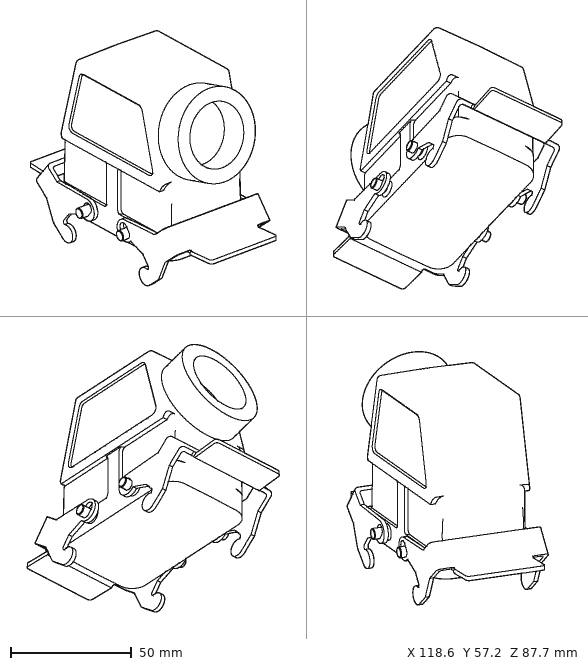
import cadquery as cq
import math



def tan_deg(angle):
    return math.tan(math.radians(angle))


end_slope = 15.0
half_draft = 0.75
ridge_fall = tan_deg(half_draft) / math.cos(math.radians(end_slope))
hood_top = 72.0
hood_bottom = 32.1
hood_half_width = 22.4
hood_half_length = 34.4
hood_edge_radius = 2.0
clearance = 5.0

window_top = 67.0
window_bottom = 37.1
window_half_length = 28.0
window_depth = 1.0
window_draft = 27.0
window_corner_radius = 2.5

skirt_slope = 5.0
skirt_half_width = 20.2
skirt_corner_radius = 2.9
facet_apex_height = 27.0
facet_turn = 15.0
corner_notch_top = 35.95
corner_notch_foot = 31.7

band_height = 10.8
band_half_width = 21.65
band_corner_radius = 7.5
band_half_length = hood_half_length + (hood_bottom - band_height) * tan_deg(skirt_slope)

rib_half_width = 4.0
rib_corner_radius = 2.0
rib_draft = 18.0
rib_root = 1.0

collar_diameter = 40.6
collar_bore = 28.3
collar_length = 13.1
collar_root = 5.0
collar_mouth_height = 55.15

pin_x = 13.2
pin_z = 6.4
pin_diameter = 4.6
pin_tip_y = 28.6
pin_tip_chamfer = 0.3
pin_base_flare = 1.2

sheet = 1.9
lever_width = 51.0
lever_offset_y = 0.4
left_tilt = 39.0
right_tilt = 40.1
eye_radius = 5.0
slot_travel = 2.5
bend_radius = 2.0
inner_bend_radius = 1.3

plate_x = -27.0
plate_top = -8.0
plate_bottom = -20.2
cheek_step_x = -18.4
cheek_heel_x = -17.2
cheek_toe_x = -7.75
hook_radius = 4.0
hook_x = 0.15
hook_z = -20.85
throat_x = -4.8
throat_top = -12.3
throat_bottom = -17.6
throat_mid = (-4.3, -18.6)
throat_lip_angle = 149.0
eye_joint_angle = 262.0

tongue_angle = 36.5
tongue_length = 12.55
tongue_width = 35.6
tongue_bend_radius = 1.7
tongue_corner_radius = 1.5
tongue_bend_z = -21.12
neck_flare = 0.8


def upper_hood_half():
    """One half of the sloped upper hood, from the parting plane to the -Y side."""
    top_half = hood_half_length - (hood_top - hood_bottom) * tan_deg(end_slope)
    low_half = hood_half_length + clearance * tan_deg(end_slope)
    low = hood_bottom - clearance
    half = (
        cq.Workplane("XZ")
        .polyline([(-low_half, low), (low_half, low), (top_half, hood_top), (-top_half, hood_top)])
        .close()
        .extrude(hood_half_width, taper=half_draft)
    )
    below = cq.Workplane("XY", origin=(0, 0, low)).box(
        2 * low_half + clearance, 2 * hood_half_width + clearance, 2 * clearance
    )
    half = half.cut(below)
    side_edges = half.faces("<Y").edges("not <Z")
    top_ends = half.faces(">Z").edges("<X or >X")
    return half.newObject(side_edges.vals() + top_ends.vals()).fillet(hood_edge_radius)


def window_recess():
    """Drafted trapezoid sunk into the -Y side of the upper hood."""
    top_half = window_half_length - (window_top - window_bottom) * tan_deg(end_slope)
    outline = (
        cq.Sketch()
        .polygon([
            (-window_half_length, window_bottom),
            (window_half_length, window_bottom),
            (top_half, window_top),
            (-top_half, window_top),
            (-window_half_length, window_bottom),
        ])
        .vertices()
        .fillet(window_corner_radius)
    )
    return (
        cq.Workplane("XZ", origin=(0, -hood_half_width, 0))
        .placeSketch(outline)
        .extrude(-window_depth, taper=window_draft)
    )


def corner_notch():
    """Wedge removed from the lower corner of the upper hood at +X, -Y."""
    notch_top_x = hood_half_length - (corner_notch_top - hood_bottom) * tan_deg(end_slope)
    notch_inner_y = skirt_half_width - skirt_corner_radius
    return (
        cq.Workplane("XZ", origin=(0, -notch_inner_y, 0))
        .moveTo(corner_notch_foot, hood_bottom)
        .lineTo(notch_top_x, corner_notch_top)
        .lineTo(hood_half_length + clearance, corner_notch_top)
        .lineTo(hood_half_length + clearance, hood_bottom)
        .close()
        .extrude(hood_half_width)
    )


def rounded_section(height, half_length, half_width, radius):
    """Rounded rectangle whose ends are drafted back from the parting plane."""
    corner_x = half_length - half_width * ridge_fall
    outline = cq.Sketch().polygon([
        (half_length, 0),
        (corner_x, half_width),
        (-corner_x, half_width),
        (-half_length, 0),
        (-corner_x, -half_width),
        (corner_x, -half_width),
        (half_length, 0),
    ])
    outline = outline.vertices("<Y or >Y").fillet(radius)
    return outline.moved(cq.Location(cq.Vector(0, 0, height)))


def skirt_end_x(height, y=0.0):
    """X of the skirt's +X end wall; above the hood's underside it follows the hood wall."""
    slope = end_slope if height > hood_bottom else skirt_slope
    return hood_half_length + (hood_bottom - height) * tan_deg(slope) - y * ridge_fall


def corner_facet():
    """Block that shaves a flat facet off the skirt's corner at +X, +Y."""
    apex_y = skirt_half_width - skirt_corner_radius
    foot_y = band_half_width - band_corner_radius
    apex = cq.Vector(skirt_end_x(facet_apex_height, apex_y), apex_y, facet_apex_height)
    foot = cq.Vector(skirt_end_x(band_height, foot_y), foot_y, band_height)
    turn = math.radians(facet_turn)
    across = cq.Vector(-math.sin(turn), math.cos(turn), 0)
    facet = cq.Plane(origin=apex, xDir=across, normal=across.cross(apex - foot))
    block = cq.Workplane(facet).rect(4 * band_corner_radius, 2 * facet_apex_height)
    return block.extrude(band_corner_radius)


def skirt():
    """Tapered lower body with round corners that flatten towards the band."""
    foot_radius = skirt_corner_radius + band_half_length - hood_half_length
    stations = [
        (band_height, foot_radius),
        (hood_bottom, skirt_corner_radius),
        (corner_notch_top, skirt_corner_radius),
    ]
    sections = [
        rounded_section(height, skirt_end_x(height), skirt_half_width, radius)
        for height, radius in stations
    ]
    body = cq.Workplane("XY").placeSketch(*sections).loft(ruled=True)
    facet = corner_facet()
    facets = facet.union(facet.mirror("YZ"))
    return body.cut(facets).cut(facets.mirror("XZ"))


def band():
    """Straight rim below the skirt."""
    outline = rounded_section(0, band_half_length, band_half_width, band_corner_radius)
    return cq.Workplane("XY").placeSketch(outline).extrude(band_height)


def centre_rib():
    """Rib on the -Y side, flaring by round corners into the band and the upper hood."""
    foot = rib_half_width + rib_corner_radius
    low = band_height
    high = hood_bottom
    return (
        cq.Workplane("XZ", origin=(0, -skirt_half_width, 0))
        .moveTo(-foot, low - rib_root)
        .lineTo(foot, low - rib_root)
        .lineTo(foot, low)
        .radiusArc((rib_half_width, low + rib_corner_radius), rib_corner_radius)
        .lineTo(rib_half_width, high - rib_corner_radius)
        .radiusArc((foot, high), rib_corner_radius)
        .lineTo(foot, high + rib_root)
        .lineTo(-foot, high + rib_root)
        .lineTo(-foot, high)
        .radiusArc((-rib_half_width, high - rib_corner_radius), rib_corner_radius)
        .lineTo(-rib_half_width, low + rib_corner_radius)
        .radiusArc((-foot, low), rib_corner_radius)
        .close()
        .extrude(band_half_width - skirt_half_width, taper=rib_draft)
    )


def collar_plane():
    """Plane on the collar's mouth, facing outward along its axis."""
    slope = math.radians(end_slope)
    wall_x = hood_half_length - (collar_mouth_height - hood_bottom) * math.tan(slope)
    mouth_x = wall_x + collar_length / math.cos(slope)
    return cq.Plane(
        origin=(mouth_x, 0, collar_mouth_height),
        xDir=(0, 1, 0),
        normal=(math.cos(slope), 0, math.sin(slope)),
    )


def pin(side_x):
    """Pivot pin on the -Y side with a flared base."""
    return (
        cq.Workplane("XY")
        .moveTo(0, skirt_half_width)
        .lineTo(pin_diameter / 2 + pin_base_flare, skirt_half_width)
        .lineTo(pin_diameter / 2 + pin_base_flare, band_half_width)
        .lineTo(pin_diameter / 2, band_half_width + pin_base_flare)
        .lineTo(pin_diameter / 2, pin_tip_y - pin_tip_chamfer)
        .lineTo(pin_diameter / 2 - pin_tip_chamfer, pin_tip_y)
        .lineTo(0, pin_tip_y)
        .close()
        .revolve(360, (0, 0, 0), (0, 1, 0))
        .mirror("XZ")
        .translate((side_x * pin_x, 0, pin_z))
    )


def build_hood():
    near_half = upper_hood_half()
    notch = corner_notch()
    near_half = near_half.cut(window_recess()).cut(notch).cut(notch.mirror("YZ"))
    upper = near_half.union(near_half.mirror("XZ"))

    body = upper.union(skirt()).union(band())
    rib = centre_rib()
    body = body.union(rib).union(rib.mirror("XZ"))
    for side_x in (-1, 1):
        near_pin = pin(side_x)
        body = body.union(near_pin).union(near_pin.mirror("XZ"))

    mouth = collar_plane()
    collar = cq.Workplane(mouth).circle(collar_diameter / 2).extrude(-collar_length - collar_root)
    bore = cq.Workplane(mouth).circle(collar_bore / 2).extrude(-collar_length)
    return body.union(collar).cut(bore)


def on_circle(centre_x, centre_z, radius, angle):
    turn = math.radians(angle)
    return (centre_x + radius * math.cos(turn), centre_z + radius * math.sin(turn))


def cheek_outline():
    """Side outline of the lever, upright, with the eye centre at the origin."""
    step_distance = math.hypot(cheek_step_x, plate_top)
    step_angle = math.degrees(math.atan2(plate_top, cheek_step_x))
    tangent_angle = step_angle - math.degrees(math.acos(eye_radius / step_distance))
    hook_bottom = hook_z - hook_radius
    lip = on_circle(hook_x, hook_z, hook_radius, throat_lip_angle)
    return (
        cq.Workplane("XZ", origin=(0, lever_width / 2, 0))
        .moveTo(plate_x, plate_top)
        .lineTo(cheek_step_x, plate_top)
        .lineTo(*on_circle(0, 0, eye_radius, tangent_angle))
        .threePointArc((eye_radius, 0), on_circle(0, 0, eye_radius, eye_joint_angle))
        .lineTo(throat_x, throat_top)
        .lineTo(throat_x, throat_bottom)
        .threePointArc(throat_mid, lip)
        .threePointArc((hook_x + hook_radius, hook_z), (hook_x, hook_bottom))
        .lineTo(cheek_toe_x, hook_bottom)
        .lineTo(cheek_heel_x, plate_bottom)
        .lineTo(plate_x, plate_bottom)
        .close()
    )


def tongue():
    """Bent handle below the cross plate."""
    fall = math.radians(tongue_angle)
    out_x, out_z = -math.cos(fall), -math.sin(fall)
    under_x, under_z = math.sin(fall) * sheet, -math.cos(fall) * sheet
    tip = (plate_x + tongue_length * out_x, tongue_bend_z + tongue_length * out_z)
    inner_x = plate_x + sheet
    inner_z = tongue_bend_z - sheet * math.tan((math.pi / 2 - fall) / 2)
    blade = (
        cq.Workplane("XZ", origin=(0, tongue_width / 2, 0))
        .moveTo(plate_x, plate_bottom)
        .lineTo(plate_x, tongue_bend_z)
        .lineTo(*tip)
        .lineTo(tip[0] + under_x, tip[1] + under_z)
        .lineTo(inner_x, inner_z)
        .lineTo(inner_x, plate_bottom)
        .close()
        .extrude(tongue_width)
    )
    blade = blade.edges(cq.selectors.BoxSelector(
        (plate_x - sheet / 4, -tongue_width, tongue_bend_z - sheet / 4),
        (plate_x + sheet / 4, tongue_width, tongue_bend_z + sheet / 4),
    )).edges("|Y").fillet(tongue_bend_radius)
    tip_corners = cq.selectors.ParallelDirSelector(cq.Vector(under_x, 0, under_z))
    return blade.edges(tip_corners).fillet(tongue_corner_radius)


def neck():
    """Flared joint between the cross plate and the narrower tongue."""
    half = tongue_width / 2
    return (
        cq.Workplane("YZ", origin=(plate_x, 0, 0))
        .moveTo(-half - neck_flare, plate_bottom)
        .lineTo(half + neck_flare, plate_bottom)
        .lineTo(half, plate_bottom - neck_flare)
        .lineTo(-half, plate_bottom - neck_flare)
        .close()
        .extrude(sheet)
    )


def inner_space():
    """Room between the cheeks, behind the cross plate."""
    reach = 2 * tongue_width
    return (
        cq.Workplane("XY")
        .box(reach, lever_width - 2 * sheet, reach, centered=(False, True, True))
        .edges("|Z and <X")
        .fillet(inner_bend_radius)
        .translate((plate_x + sheet, 0, 0))
    )


def build_lever(tilt):
    """One lever with its inward side towards +X and its lower slot centre at the origin."""
    plate_corners = cq.selectors.BoxSelector(
        (plate_x - sheet, -lever_width, plate_bottom),
        (plate_x + sheet, lever_width, plate_top),
    )
    lever = cheek_outline().extrude(lever_width)
    lever = lever.edges("|Z").edges(plate_corners).fillet(bend_radius)
    lever = lever.cut(inner_space()).union(tongue()).union(neck())

    slot = (
        cq.Workplane("XZ", origin=(0, lever_width, 0))
        .slot2D(slot_travel + pin_diameter, pin_diameter, 90)
        .extrude(2 * lever_width)
    )
    lever = lever.cut(slot).translate((0, 0, slot_travel / 2))
    return lever.rotate((0, 0, 0), (0, 1, 0), tilt)


hood = build_hood()
levers = []
for side_x, tilt in ((-1, left_tilt), (1, right_tilt)):
    lever = build_lever(tilt)
    if side_x > 0:
        lever = lever.rotate((0, 0, 0), (0, 0, 1), 180)
    levers.append(lever.translate((side_x * pin_x, lever_offset_y, pin_z)))

result = cq.Compound.makeCompound([hood.val(), *[lever.val() for lever in levers]])